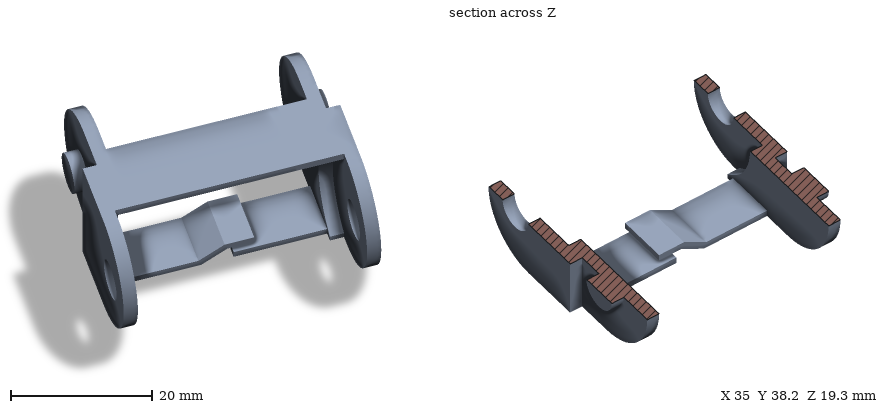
import cadquery as cq

LENGTH = 35.0
WIDTH = 38.2
HEIGHT = 19.3
END_RADIUS = HEIGHT / 2

PLATE_THICKNESS = 2.1
OUTER_FACE = WIDTH / 2
STEP_FACE = OUTER_FACE - PLATE_THICKNESS
INNER_FACE = STEP_FACE - PLATE_THICKNESS
STEP_X = 15.55 - LENGTH / 2
PIN_DIAMETER = 6.05
PIN_X = 8.65 - LENGTH / 2
PITCH = 19.98
HOLE_X = PIN_X + PITCH
LINK_CLEARANCE = 0.23
RELIEF_RADIUS = END_RADIUS + LINK_CLEARANCE

BRIDGE_LEFT = 13.18 - LENGTH / 2
BRIDGE_WIDTH = 10.9
BRIDGE_RIGHT = BRIDGE_LEFT + BRIDGE_WIDTH
BRIDGE_THICKNESS = 1.22

TAB_LEFT = 14.65 - LENGTH / 2
TAB_WIDTH = 8.1
TAB_THICKNESS = 1.07
FLAT_TAB_END = 1.05
RAISED_TAB_END = 4.1
RAISED_TAB_LIFT = 2.25
RAMP_TOP_START = -4.2
RAMP_TOP_END = -0.3
RAMP_UNDERSIDE_SHIFT = 0.42

BOTTOM = -HEIGHT / 2


def box(x_start, x_end, y_start, y_end, z_start, z_end):
    size = (x_end - x_start, y_end - y_start, z_end - z_start)
    return cq.Workplane("XY").box(*size, centered=False).translate((x_start, y_start, z_start))


def cylinder_along_y(x, radius, y_start, y_end):
    plane = cq.Workplane("XZ", origin=(x, y_start, 0))
    return plane.circle(radius).extrude(y_start - y_end)


def round_ended_plate(square_x, round_x, y_start, y_end):
    """Plate with a straight edge at square_x and a full round end reaching round_x."""
    direction = 1 if round_x > square_x else -1
    arc_x = round_x - direction * END_RADIUS
    outline = (
        cq.Workplane("XZ", origin=(0, y_start, 0))
        .moveTo(square_x, -END_RADIUS)
        .lineTo(arc_x, -END_RADIUS)
        .threePointArc((round_x, 0), (arc_x, END_RADIUS))
        .lineTo(square_x, END_RADIUS)
        .close()
    )
    return outline.extrude(y_start - y_end)


def side_wall():
    """Stepped wall on the +Y side."""
    inner = round_ended_plate(BRIDGE_RIGHT, -LENGTH / 2, INNER_FACE, STEP_FACE)
    relief = cylinder_along_y(HOLE_X, RELIEF_RADIUS, INNER_FACE, STEP_FACE)
    outer = round_ended_plate(STEP_X, LENGTH / 2, STEP_FACE, OUTER_FACE)
    hole = cylinder_along_y(HOLE_X, PIN_DIAMETER / 2, STEP_FACE, OUTER_FACE)
    pin = cylinder_along_y(PIN_X, PIN_DIAMETER / 2, STEP_FACE, OUTER_FACE)
    return inner.cut(relief).union(outer.cut(hole)).union(pin)


def bridge():
    top = HEIGHT / 2
    return box(BRIDGE_LEFT, BRIDGE_RIGHT, -STEP_FACE, STEP_FACE, top - BRIDGE_THICKNESS, top)


def flat_tab():
    """Level tab reaching inward from the +Y wall."""
    return box(TAB_LEFT, TAB_LEFT + TAB_WIDTH, FLAT_TAB_END, INNER_FACE, BOTTOM, BOTTOM + TAB_THICKNESS)


def raised_tab():
    """Tab from the -Y wall that ramps up and passes over the flat tab."""
    raised_bottom = BOTTOM + RAISED_TAB_LIFT
    profile = [
        (-INNER_FACE, BOTTOM),
        (RAMP_TOP_START + RAMP_UNDERSIDE_SHIFT, BOTTOM),
        (RAMP_TOP_END + RAMP_UNDERSIDE_SHIFT, raised_bottom),
        (RAISED_TAB_END, raised_bottom),
        (RAISED_TAB_END, raised_bottom + TAB_THICKNESS),
        (RAMP_TOP_END, raised_bottom + TAB_THICKNESS),
        (RAMP_TOP_START, BOTTOM + TAB_THICKNESS),
        (-INNER_FACE, BOTTOM + TAB_THICKNESS),
    ]
    return cq.Workplane("YZ", origin=(TAB_LEFT, 0, 0)).polyline(profile).close().extrude(TAB_WIDTH)


wall = side_wall()
result = wall.union(wall.mirror("XZ")).union(bridge()).union(flat_tab()).union(raised_tab())